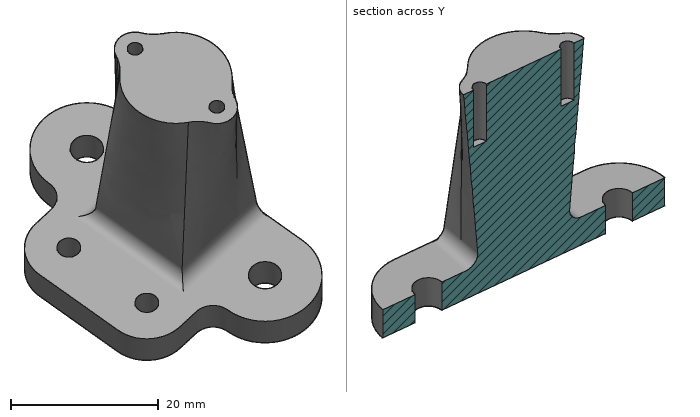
import cadquery as cq
import math

COS_45 = math.sqrt(0.5)

PLATE_THICKNESS = 5.0
EAR_RADIUS = 7.7
EAR_X = 16.0
EAR_HOLE_DIAMETER = 4.5
TAB_HALF_WIDTH = 13.0
TAB_CORNER_RADIUS = 6.0
TAB_HOLE_X = TAB_HALF_WIDTH - TAB_CORNER_RADIUS
TAB_HOLE_Y = -14.0
TAB_HOLE_DIAMETER = 3.2
TAB_END_Y = TAB_HOLE_Y - TAB_CORNER_RADIUS
NECK_RADIUS = EAR_X - TAB_HALF_WIDTH

TOTAL_HEIGHT = 36.0
FOOT_HALF_WIDTH = 7.75
FOOT_HALF_DEPTH = 7.6
FLARE_RADIUS = 2.0
FOOT_Z = PLATE_THICKNESS + FLARE_RADIUS
HEAD_RADIUS = 7.6
LOBE_X = 7.35
LOBE_RADIUS = 2.8
LOBE_BLEND_RADIUS = 6.0
HEAD_HOLE_DIAMETER = 2.1
HEAD_HOLE_DEPTH = 10.0


def make_hole_pair(x, y, diameter, top_z, depth):
    """Two vertical cylinders at +x and -x, reaching down from top_z."""
    return (
        cq.Workplane("XY", origin=(0, 0, top_z))
        .pushPoints([(-x, y), (x, y)])
        .circle(diameter / 2)
        .extrude(-depth)
    )


def make_plate():
    """Two round ears joined by a rounded tab, with neck fillets between them."""
    neck_y = -EAR_RADIUS - NECK_RADIUS
    neck_mid_x = EAR_X - NECK_RADIUS * COS_45
    neck_mid_y = neck_y + NECK_RADIUS * COS_45
    corner_mid_x = TAB_HOLE_X + TAB_CORNER_RADIUS * COS_45
    corner_mid_y = TAB_HOLE_Y - TAB_CORNER_RADIUS * COS_45
    plate = (
        cq.Workplane("XY")
        .moveTo(-EAR_X, EAR_RADIUS)
        .lineTo(EAR_X, EAR_RADIUS)
        .threePointArc((EAR_X + EAR_RADIUS, 0), (EAR_X, -EAR_RADIUS))
        .threePointArc((neck_mid_x, neck_mid_y), (TAB_HALF_WIDTH, neck_y))
        .lineTo(TAB_HALF_WIDTH, TAB_HOLE_Y)
        .threePointArc((corner_mid_x, corner_mid_y), (TAB_HOLE_X, TAB_END_Y))
        .lineTo(-TAB_HOLE_X, TAB_END_Y)
        .threePointArc((-corner_mid_x, corner_mid_y), (-TAB_HALF_WIDTH, TAB_HOLE_Y))
        .lineTo(-TAB_HALF_WIDTH, neck_y)
        .threePointArc((-neck_mid_x, neck_mid_y), (-EAR_X, -EAR_RADIUS))
        .threePointArc((-EAR_X - EAR_RADIUS, 0), (-EAR_X, EAR_RADIUS))
        .close()
        .extrude(PLATE_THICKNESS)
    )
    ear_holes = make_hole_pair(EAR_X, 0, EAR_HOLE_DIAMETER, PLATE_THICKNESS, PLATE_THICKNESS)
    tab_holes = make_hole_pair(TAB_HOLE_X, TAB_HOLE_Y, TAB_HOLE_DIAMETER, PLATE_THICKNESS, PLATE_THICKNESS)
    return plate.cut(ear_holes).cut(tab_holes)


def make_flare():
    """Concave skirt with mitred corners on three sides of the foot; the back is flush."""
    reach = FLARE_RADIUS * (1 - COS_45)
    arc_mid_z = PLATE_THICKNESS + reach
    outer_x = FOOT_HALF_WIDTH + FLARE_RADIUS
    outer_y = FOOT_HALF_DEPTH + FLARE_RADIUS
    across_x = (
        cq.Workplane("XZ")
        .moveTo(-outer_x, PLATE_THICKNESS)
        .lineTo(outer_x, PLATE_THICKNESS)
        .threePointArc((FOOT_HALF_WIDTH + reach, arc_mid_z), (FOOT_HALF_WIDTH, FOOT_Z))
        .lineTo(-FOOT_HALF_WIDTH, FOOT_Z)
        .threePointArc((-FOOT_HALF_WIDTH - reach, arc_mid_z), (-outer_x, PLATE_THICKNESS))
        .close()
        .extrude(outer_y, both=True)
    )
    across_y = (
        cq.Workplane("YZ")
        .moveTo(-outer_y, PLATE_THICKNESS)
        .lineTo(FOOT_HALF_DEPTH, PLATE_THICKNESS)
        .lineTo(FOOT_HALF_DEPTH, FOOT_Z)
        .lineTo(-FOOT_HALF_DEPTH, FOOT_Z)
        .threePointArc((-FOOT_HALF_DEPTH - reach, arc_mid_z), (-outer_y, PLATE_THICKNESS))
        .close()
        .extrude(outer_x, both=True)
    )
    return across_x.intersect(across_y)


def make_foot_wire():
    """Rectangle whose two short sides are split in three to pair with the head edges."""
    split_y = FOOT_HALF_DEPTH / 2
    return (
        cq.Workplane("XY", origin=(0, 0, FOOT_Z))
        .moveTo(-FOOT_HALF_WIDTH, FOOT_HALF_DEPTH)
        .lineTo(FOOT_HALF_WIDTH, FOOT_HALF_DEPTH)
        .lineTo(FOOT_HALF_WIDTH, split_y)
        .lineTo(FOOT_HALF_WIDTH, -split_y)
        .lineTo(FOOT_HALF_WIDTH, -FOOT_HALF_DEPTH)
        .lineTo(-FOOT_HALF_WIDTH, -FOOT_HALF_DEPTH)
        .lineTo(-FOOT_HALF_WIDTH, -split_y)
        .lineTo(-FOOT_HALF_WIDTH, split_y)
        .close()
        .wire()
        .val()
    )


def make_head_wire():
    """Circle with a lobe at each end, joined by concave arcs tangent to both."""
    head_reach = HEAD_RADIUS + LOBE_BLEND_RADIUS
    lobe_reach = LOBE_RADIUS + LOBE_BLEND_RADIUS
    blend_x = (head_reach**2 - lobe_reach**2 + LOBE_X**2) / (2 * LOBE_X)
    blend_y = math.sqrt(head_reach**2 - blend_x**2)
    head_angle = math.atan2(blend_y, blend_x)
    lobe_angle = math.atan2(blend_y, blend_x - LOBE_X)
    blend_mid_angle = (head_angle + lobe_angle) / 2

    corner_x = HEAD_RADIUS * math.cos(head_angle)
    corner_y = HEAD_RADIUS * math.sin(head_angle)
    mid_x = blend_x - LOBE_BLEND_RADIUS * math.cos(blend_mid_angle)
    mid_y = blend_y - LOBE_BLEND_RADIUS * math.sin(blend_mid_angle)
    end_x = LOBE_X + LOBE_RADIUS * math.cos(lobe_angle)
    end_y = LOBE_RADIUS * math.sin(lobe_angle)
    tip_x = LOBE_X + LOBE_RADIUS
    return (
        cq.Workplane("XY", origin=(0, 0, TOTAL_HEIGHT))
        .moveTo(-corner_x, corner_y)
        .threePointArc((0, HEAD_RADIUS), (corner_x, corner_y))
        .threePointArc((mid_x, mid_y), (end_x, end_y))
        .threePointArc((tip_x, 0), (end_x, -end_y))
        .threePointArc((mid_x, -mid_y), (corner_x, -corner_y))
        .threePointArc((0, -HEAD_RADIUS), (-corner_x, -corner_y))
        .threePointArc((-mid_x, -mid_y), (-end_x, -end_y))
        .threePointArc((-tip_x, 0), (-end_x, end_y))
        .threePointArc((-mid_x, mid_y), (-corner_x, corner_y))
        .close()
        .wire()
        .val()
    )


def make_column():
    """Ruled transition from the foot to the head, with two blind holes in the lobes."""
    column = cq.Workplane(cq.Solid.makeLoft([make_foot_wire(), make_head_wire()], True))
    holes = make_hole_pair(LOBE_X, 0, HEAD_HOLE_DIAMETER, TOTAL_HEIGHT, HEAD_HOLE_DEPTH)
    return column.cut(holes)


result = make_plate().union(make_flare()).union(make_column())